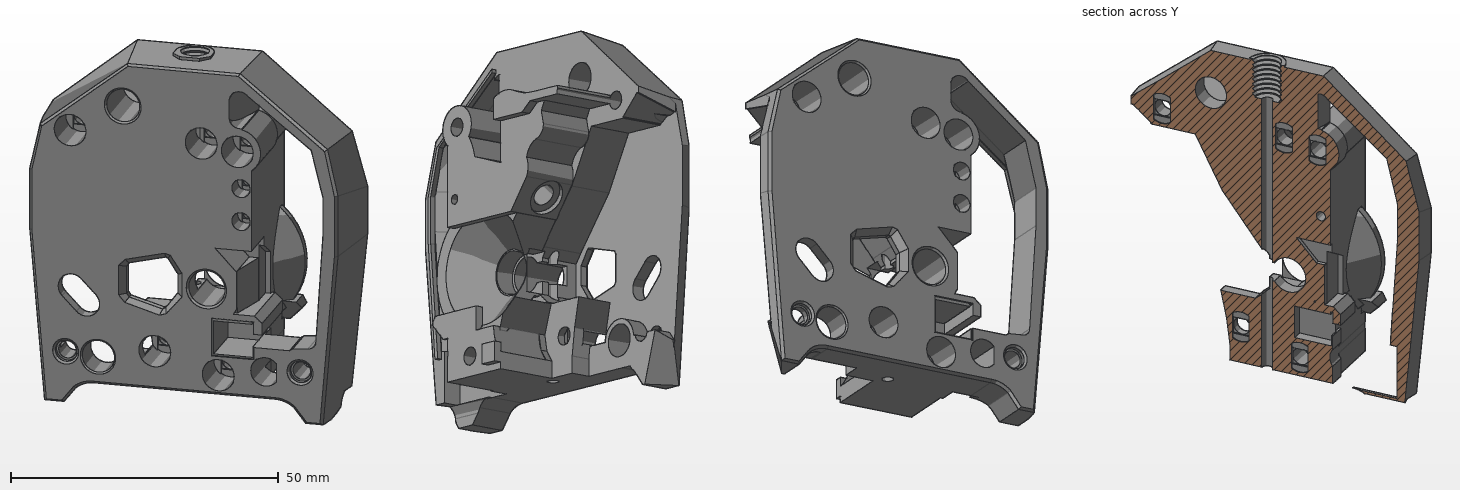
import cadquery as cq
import math


PLATE_Y = 2.6
SHELL_Y = 11.75
BODY_Y = 22.9
HOUSING_Y = 21.3
TIP_Y = 24.7
EDGE_CHAMFER = 0.5
HEIGHT = 68.69
LEFT_X = -30.35
RIGHT_X = 32.5
BODY_RIGHT_X = 13.2
BASE_Z = 4.2
OVERLAP = 0.1
FAR = 60.0

GEAR_X, GEAR_Z = 4.5, 24.9
FILAMENT_X, FILAMENT_Y = 0.0, 8.3
BOSS_X, BOSS_Z, BOSS_R = 10.5, 52.5, 4.5
REAR_BOSS_D = 8.2


def plane_at(y):
    """XZ sketch plane at depth y; a negative extrusion runs toward +Y."""
    return cq.Workplane("XZ", origin=(0, y, 0))


def prism(points, y_from, y_to):
    return plane_at(y_from).polyline(points).close().extrude(y_from - y_to)


def cylinder(x, z, diameter, y_from, y_to):
    return plane_at(y_from).center(x, z).circle(diameter / 2).extrude(y_from - y_to)


def cone(x, z, d_from, d_to, y_from, y_to):
    axis = cq.Vector(0, 1, 0)
    start = cq.Vector(x, y_from, z)
    return cq.Workplane(cq.Solid.makeCone(d_from / 2, d_to / 2, y_to - y_from, start, axis))


def box(x_from, x_to, y_from, y_to, z_from, z_to):
    size = (x_to - x_from, y_to - y_from, z_to - z_from)
    return cq.Workplane(origin=(x_from, y_from, z_from)).box(*size, centered=False)


def side_prism(points_yz, x_from, x_to):
    return cq.Workplane("YZ", origin=(x_from, 0, 0)).polyline(points_yz).close().extrude(x_to - x_from)


def mirrored(half):
    """Close a right-hand chain of points into a symmetric outline."""
    return half + [(-x, z) for x, z in reversed(half)]


def loft_between(points_a, y_a, points_b, y_b):
    wires = []
    for points, y in ((points_a, y_a), (points_b, y_b)):
        wires.append(cq.Wire.makePolygon([cq.Vector(x, y, z) for x, z in points], close=True))
    return cq.Workplane(cq.Solid.makeLoft(wires, True))


def make_frame():
    face = mirrored([(26.5, 0.4), (29.3, 33.5), (29.3, 45.4), (27.4, 54.1), (10.7, 67.4)])
    front = mirrored([(27.0, 0), (29.87, 33.5), (29.87, 45.4), (27.85, 54.4), (10.9, 67.8)])
    back = mirrored([(29.0, 0), (RIGHT_X, 34.5), (RIGHT_X, 43.9), (29.5, 54.5), (12.1, HEIGHT)])
    frame = loft_between(face, 0, front, EDGE_CHAMFER)
    frame = frame.union(loft_between(front, EDGE_CHAMFER, back, SHELL_Y))
    return frame.intersect(box(LEFT_X, RIGHT_X, 0, SHELL_Y, 0, HEIGHT))


def arch_wire(y, grow):
    """Arch outline at depth y, its straight slopes and crown moved outward by grow."""
    slant = grow * math.sqrt(0.5)
    sketch = (plane_at(y).moveTo(-24.0 - slant, slant - 1).lineTo(-20.9 - slant, 2.9 + slant)
              .threePointArc((-19.2 - slant / 2, 3.9 + grow), (-17.3, BASE_Z + grow))
              .lineTo(17.6, BASE_Z + grow).threePointArc((19.5 + slant / 2, 3.9 + grow), (21.3 + slant, 2.9 + slant))
              .lineTo(24.4 + slant, slant - 1).lineTo(24.4, -2).lineTo(-24.0, -2).close())
    return sketch.val()


def make_arch():
    """Opening between the two feet, its front edge chamfered."""
    flat = arch_wire(-OVERLAP, 0)
    arch = cq.Workplane(cq.Solid.extrudeLinear(flat, [], cq.Vector(0, FAR, 0)))
    rim = cq.Solid.makeLoft([arch_wire(0, EDGE_CHAMFER), arch_wire(EDGE_CHAMFER, 0)], True)
    return arch.union(cq.Workplane(rim))


def make_foot_relief():
    """Outer corner of the right foot and the curved back of both feet."""
    corner = prism([(27.6, 0), (29.25, 2.7), (FAR, 2.7), (FAR, -1), (27.6, -1)], EDGE_CHAMFER, FAR)
    back = (cq.Workplane("YZ", origin=(-FAR, 0, 0)).moveTo(8.8, BASE_Z)
            .threePointArc((8.1, 3.2), (7.8, 2.0)).lineTo(7.8, -1).lineTo(FAR, -1)
            .lineTo(FAR, BASE_Z).close().extrude(2 * FAR))
    return corner.union(back)


SCREW_CLEARANCE_Y = 10.3
SCREW_CLEARANCE = [(-1.8, 18.5), (0, 12.8), (-0.6, 9.6), (-2.0, 7.5), (-2.0, -1)]


def make_motor_space():
    outline = [
        (-FAR, 51.9), (-26, 51.4), (-24, 50), (-15, 50), (-9.4, 39.5), (-1.3, 29.3),
        (0, 27.5), (0, 20.5), (-2.4, 18.5), (-9.7, 18.5), (-8.5, 12.8),
        (-7.8, 7.5), (-7.8, -1), (-FAR, -1),
    ]
    space = prism(outline, PLATE_Y, SHELL_Y)
    outer_left = box(-FAR, -28.4, PLATE_Y, FAR, -1, 60)
    slope = loft_between([(-40, 51.8), (-28, 51.8), (-24, 50.2), (-40, 50.2)], PLATE_Y,
                         [(-40, 54.3), (-28, 54.2), (-24, 50.2), (-40, 50.2)], SHELL_Y)
    head_room = prism(SCREW_CLEARANCE + [(-FAR, -1), (-FAR, 18.5)], SCREW_CLEARANCE_Y, SHELL_Y)
    return space.union(outer_left).union(slope).union(head_room)


FOOT_Y = 6.2
FOOT_BORE = (-16.5, 9.6)


def make_left_foot():
    outline = [(-26.9, 0), (-28.1, 8.2), (-26.75, 9.9), (-7.5, 9.9), (-7.5, BASE_Z),
               (-19.5, BASE_Z), (-23.2, 0)]
    foot = prism(outline, PLATE_Y - OVERLAP, FOOT_Y)
    return foot.union(cylinder(*FOOT_BORE, 8.2, PLATE_Y - OVERLAP, FOOT_Y))


def make_left_foot_bevel():
    """Wedge that bevels the outer rear side of the left foot."""
    tip = cq.Vector(-27.0, 0.6, 0)
    plate_edge = cq.Vector(-28.3, PLATE_Y, 8.2)
    rear_top = cq.Vector(-26.75, FOOT_Y, 9.9)
    along = plate_edge - tip
    normal = along.cross(rear_top - tip)
    wedge = cq.Workplane(cq.Plane(tip, along, normal)).rect(FAR, FAR).extrude(FAR)
    return wedge.intersect(box(-FAR, -19, 0.6, SHELL_Y, -1, 9.9))


def make_window():
    outline = (
        plane_at(-1).moveTo(BODY_RIGHT_X, 14.2).lineTo(20.6, 14.2).lineTo(21.2, 14.6).lineTo(24.2, 14.9)
        .threePointArc((25.2, 15.3), (25.7, 16.4)).lineTo(27.06, 37.4).lineTo(27.06, 45.0)
        .lineTo(24.8, 54.1).lineTo(12.6, 63.6).lineTo(11.4, 63.2).lineTo(11.4, 56)
        .lineTo(BODY_RIGHT_X, 54).close().extrude(-FAR)
    )
    return outline.cut(cylinder(BOSS_X, BOSS_Z, 2 * BOSS_R, -2, FAR))


def make_window_ramp():
    """Upper left end of the window: the wall leans from the wide front to the narrow back."""
    front_x, back_x, low, height, width = 8.9, 11.4, 57.1, 7.3, 4.1
    plan = [(front_x, -1), (front_x, 0), (back_x, SHELL_Y), (13, SHELL_Y), (13, -1)]
    ramp = cq.Workplane("XY", origin=(0, 0, low)).polyline(plan).close().extrude(height)
    slot = plane_at(-1).center(front_x + width / 2, low + height / 2).slot2D(height, width, 90).extrude(-FAR)
    return ramp.intersect(slot)


def make_window_rear():
    """Bevel that widens the window toward the back, and the shallow sill below it."""
    narrow = [(20, 13), (25.5, 14.2), (27.06, 37.4), (27.06, 45.0), (24.8, 54.1), (12.6, 63.6)]
    wide = [(20, 13), (27.8, 14.2), (29.7, 37.4), (29.7, 45.0), (27.2, 53.4), (12.6, 64.6)]
    bevel = loft_between(narrow, 8.25, wide, SHELL_Y).cut(cylinder(BOSS_X, BOSS_Z, 2 * BOSS_R, 0, FAR))
    sill = box(BODY_RIGHT_X + 0.5, 27.0, 8.0, FAR, BASE_Z, 15)
    return bevel.union(sill)


def make_rear_lip():
    outer = [(12.3, 65.4), (28.1, 53.0), (30.5, 44), (30.5, 35), (28.6, 12.7)]
    inner = [(27.8, 12.7), (29.8, 35), (29.8, 44), (27.4, 53.0), (12.3, 64.7)]
    return prism(outer + inner, SHELL_Y - OVERLAP, 12.75)


def make_rear_body():
    """Gear housing with its side tongue, column and right boss, and the flange behind the tongue."""
    tongue_end = -20.35
    column_right = -2.0
    profile = (
        plane_at(SHELL_Y - OVERLAP)
        .moveTo(tongue_end, 53.4).lineTo(tongue_end, 55.0).lineTo(-9.4, 55.0)
        .threePointArc((-8.4, 55.3), (-7.7, 56.2))
        .threePointArc((-4.8, 56.6), (column_right, 55.6)).lineTo(column_right, 43.6)
        .lineTo(5.4, 46.0).threePointArc((6.0, 48.0), (7.0, 50.0)).lineTo(BOSS_X, BOSS_Z)
        .lineTo(BODY_RIGHT_X, BOSS_Z).lineTo(BODY_RIGHT_X, 33.8).lineTo(-4.9, 33.8).lineTo(-9.4, 39.7)
        .threePointArc((-9.8, 41.5), (-9.4, 43.4)).threePointArc((-10.3, 45.2), (-12.0, 46.4))
        .threePointArc((-13.6, 47.3), (-14.2, 49.0)).lineTo(-13.6, 51.6).lineTo(-14.5, 53.4)
        .close().extrude(SHELL_Y - OVERLAP - BODY_Y)
    )
    lower = prism([(-4.9, 34), (BODY_RIGHT_X, 34), (BODY_RIGHT_X, 20), (0, 20), (0, 27.5)],
                  SHELL_Y - OVERLAP, HOUSING_Y)
    boss = cylinder(BOSS_X, BOSS_Z, REAR_BOSS_D, SHELL_Y - OVERLAP, BODY_Y)
    flange = (
        plane_at(BODY_Y - OVERLAP).moveTo(tongue_end, 53.4).lineTo(tongue_end, 55.0).lineTo(-14.1, 55.0)
        .threePointArc((-10.5, 55.3), (-7.7, 56.2)).threePointArc((-4.8, 56.6), (column_right, 55.6))
        .lineTo(column_right, 51.6).lineTo(-10.2, 51.6).lineTo(-12.5, 53.4)
        .close().extrude(BODY_Y - OVERLAP - TIP_Y)
    )
    return profile.union(lower).union(boss).union(flange)


BOWL_R = 13.6
BOWL_RIM_Y = 19.8
BOWL_FLOOR_Y = 14.7


def make_bowl():
    tip_r = BOWL_R - (BOWL_RIM_Y - SHELL_Y)
    bowl = cone(GEAR_X, GEAR_Z, 2 * tip_r, 2 * BOWL_R, SHELL_Y, BOWL_RIM_Y)
    bowl = bowl.union(cylinder(GEAR_X, GEAR_Z, 2 * BOWL_R, BOWL_RIM_Y, HOUSING_Y))
    return bowl.cut(box(-FAR, 0, 0, FAR, 0, FAR))


def make_bowl_recess():
    inner_r = 4.4
    mouth_r = inner_r + HOUSING_Y - BOWL_FLOOR_Y
    recess = cone(GEAR_X, GEAR_Z, 2 * inner_r, 2 * mouth_r, BOWL_FLOOR_Y, HOUSING_Y)
    bearing = cylinder(GEAR_X, GEAR_Z, 8.2, 10.9, BOWL_FLOOR_Y + OVERLAP)
    return recess.union(bearing)


def make_gear_space():
    bore = cylinder(GEAR_X, GEAR_Z, 7.0, -1, FAR)
    mouth = cone(GEAR_X, GEAR_Z, 7.8, 7.0, 0, 0.4)
    side = box(-1, GEAR_X, 4.8, 10.9, 23.0, 26.8)
    bearing_side = box(-1, GEAR_X, 10.9, BOWL_FLOOR_Y, 20.5, 28.6)
    return bore.union(mouth).union(side).union(bearing_side)


def make_lower_block():
    shelf_end, recess_top, recess_middle, recess_low, _ = SCREW_CLEARANCE
    left, shelf_z = recess_low[0], recess_top[1]
    block = (plane_at(SHELL_Y - OVERLAP).moveTo(left, BASE_Z).lineTo(*recess_low)
             .threePointArc(recess_middle, recess_top).lineTo(BODY_RIGHT_X, shelf_z)
             .lineTo(BODY_RIGHT_X, BASE_Z).close().extrude(SHELL_Y - OVERLAP - BODY_Y))
    shelf = prism([recess_top, shelf_end, (BODY_RIGHT_X, shelf_end[1]), (BODY_RIGHT_X, shelf_z)],
                  SHELL_Y - OVERLAP, HOUSING_Y)
    wing = prism([(5, 12.6), (14.5, 12.6), (17.6, 15.9), (16.8, 17.4), (5, 17.4)], 15, BODY_Y)
    wing = wing.intersect(side_prism([(18.3, 17.4), (BODY_Y, 12.0), (BODY_Y, 17.4)], 0, FAR))
    tab = box(left, 1.65, BODY_Y - OVERLAP, 24.4, 5.5, 9.3)
    return block.union(shelf).union(wing).union(tab)


NOTCH_WALL_X = 12.15


def make_side_notch():
    """Opening from the window into the gear space."""
    outline = [(6.2, 33.1), (10.3, 28.8), (10.3, 21.4), (9.75, 20.4), (14, 20.4), (14, 33.1)]
    notch = prism(outline, -1, 9)
    deep = side_prism([(-1, 20.4), (-1, 31.3), (9, 31.3), (13.5, 28.6), (13.5, 20.4)], NOTCH_WALL_X, 14)
    return notch.union(deep.cut(make_bowl()))


def make_notch_wall():
    """Leaning wall left standing behind the notch."""
    plan = [(10, 0.8), (10.3, 0.8), (NOTCH_WALL_X, 9.1), (10, 9.1)]
    return cq.Workplane("XY", origin=(0, 0, 20.4)).polyline(plan).close().extrude(8.4)


def make_hook():
    """L-shaped lip beside the square pocket."""
    outline = [(13, 20.4), (13.8, 20.4), (15.3, 19.1), (15.3, 16.8), (13.65, 16.8), (13.65, 19.1), (13, 19.1)]
    return prism(outline, 0, 14.3)


def make_square_pocket():
    left, right, low, high = 5.8, 13.4, 12.1, 18.6
    pocket = box(left, right, -1, SCREW_CLEARANCE_Y, low, high)
    return pocket.union(box(left - 0.3, right + 0.25, -1, 0.4, low - 0.3, high + 0.6))


SCREW_D, SCREW_HEAD_D = 3.4, 6.15
SCREW_POINTS = [(-21.9, 53.8), (3.5, 53.5), (BOSS_X, BOSS_Z), (-5.5, 11.7), (6.8, 8.1)]
FOOT_SCREW_X, FOOT_SCREW_Z = (-22.75, 22.65), 10.1
SMALL_POINTS = [(11.2, 45.3), (11.2, 38.8)]


def stepped_hole(x, z, head_d, hole_d, head_depth, depth):
    """Counterbore that narrows through a slot and a square to the clearance hole."""
    step = 0.4
    head = cylinder(x, z, head_d, -1, head_depth)
    slot_wall = box(x - hole_d / 2, x + hole_d / 2, 0, head_depth + step, z - head_d, z + head_d)
    slot = cylinder(x, z, head_d, 0, head_depth + step).intersect(slot_wall)
    square = box(x - hole_d / 2, x + hole_d / 2, 0, head_depth + 2 * step, z - hole_d / 2, z + hole_d / 2)
    return head.union(slot).union(square).union(cylinder(x, z, hole_d, 0, depth))


def chamfered_hole(x, z, diameter, chamfer, depth=FAR):
    mouth = cone(x, z, diameter + 2 * chamfer, diameter, 0, chamfer)
    return cylinder(x, z, diameter, -1, depth).union(mouth)


def make_front_holes():
    holes = chamfered_hole(-11.7, 59.5, 6.4, 0.35)
    holes = holes.union(chamfered_hole(*FOOT_BORE, 6.25, 0.3))
    for x in FOOT_SCREW_X:
        holes = holes.union(cylinder(x, FOOT_SCREW_Z, SCREW_D, -1, FAR))
        holes = holes.union(cylinder(x, FOOT_SCREW_Z, 4.2, -1, 1.2))
        holes = holes.union(cone(x, FOOT_SCREW_Z, 5.04, 4.2, 0, 0.4))
    for x, z in SCREW_POINTS:
        holes = holes.union(stepped_hole(x, z, SCREW_HEAD_D, SCREW_D, 8.0, FAR))
    for (x, z), depth in zip(SMALL_POINTS, (8.0, FAR)):
        holes = holes.union(stepped_hole(x, z, 3.5, 1.8, 4.0, depth))
    flat_hole = cylinder(15.9, 9.6, 5.6, -1, FAR).intersect(box(0, 18.05, -1, FAR, 0, 20))
    return holes.union(flat_hole)


def make_left_slot():
    start, end, width = (-21.6, 22.85), (-18.8, 20.0), 5.2
    dx, dz = end[0] - start[0], end[1] - start[1]
    length = math.hypot(dx, dz)
    angle = math.degrees(math.atan2(dz, dx))
    middle = ((start[0] + end[0]) / 2, (start[1] + end[1]) / 2)
    return plane_at(-1).center(*middle).slot2D(length + width, width, angle).extrude(-FAR)


def make_motor_opening():
    outer = [(-12.5, 28.0), (-11.2, 29.3), (-3.6, 31.2), (-2.5, 30.9), (-0.2, 27.5), (-0.2, 22.9),
             (-3.3, 19.3), (-4.6, 18.9), (-11.3, 20.8), (-12.5, 22.2)]
    inner = [(-11.3, 27.5), (-10.9, 28.2), (-3.7, 30.0), (-3.3, 29.8), (-1.4, 26.9), (-1.4, 23.2),
             (-3.7, 20.1), (-4.3, 19.7), (-10.8, 21.5), (-11.3, 22.2)]
    return loft_between(outer, 0, inner, 1.3).union(prism(inner, 1, FAR))


INLET_PAD_R = 3.65
THREAD_MINOR_D, THREAD_MAJOR_D, THREAD_PITCH = 5.04, 6.0, 1.0


def make_inlet_pad():
    pad = [(-INLET_PAD_R, SHELL_Y - INLET_PAD_R), (-INLET_PAD_R, 6.0), (-1.9, 4.4), (1.9, 4.4),
           (INLET_PAD_R, 6.0), (INLET_PAD_R, SHELL_Y - INLET_PAD_R)]
    sketch = cq.Workplane("XY", origin=(0, 0, HEIGHT - 2)).polyline(pad)
    return sketch.threePointArc((0, SHELL_Y), pad[0]).close().extrude(2)


def make_filament_path():
    thread_depth = 8.0
    filament_d, path_end = 2.2, BASE_Z - 1
    up = cq.Workplane("XY", origin=(FILAMENT_X, FILAMENT_Y, HEIGHT))
    path = up.circle(filament_d / 2).extrude(path_end - HEIGHT)
    path = path.union(up.circle(THREAD_MINOR_D / 2).extrude(-thread_depth))
    minor_r, major_r = THREAD_MINOR_D / 2, THREAD_MAJOR_D / 2
    root_r, half = minor_r - 0.5, 0.45 * THREAD_PITCH
    ring = [(root_r, half), (minor_r, half), (major_r, 0), (minor_r, -half), (root_r, -half)]
    groove = cq.Workplane("XZ").polyline(ring).close().revolve(360, (0, 0, 0), (0, 1, 0))
    for turn in range(int(thread_depth / THREAD_PITCH)):
        z = HEIGHT - THREAD_PITCH * (turn + 0.3)
        path = path.union(groove.translate((FILAMENT_X, FILAMENT_Y, z)))
    return path


def make_tilted_bore():
    """Tension screw bore, square to the leaning motor-side wall."""
    bore_y, tilt = 16.2, math.radians(38)
    axis = cq.Vector(math.cos(tilt), 0, math.sin(tilt))
    mouth = cq.Vector(-7.3, bore_y, 37.0)
    head_d, head_length, bore_d, bore_length = 7.0, 3.0, 4.2, 11.0
    head = cq.Solid.makeCylinder(head_d / 2, head_length, mouth - axis * 2, axis)
    bore = cq.Solid.makeCylinder(bore_d / 2, bore_length, mouth, axis)
    return cq.Workplane(head).union(cq.Workplane(bore))


result = make_frame().union(make_inlet_pad())
result = result.cut(make_motor_space()).union(make_left_foot()).cut(make_left_foot_bevel())
result = result.cut(make_window()).cut(make_window_ramp()).cut(make_window_rear())
result = result.cut(make_arch()).cut(make_foot_relief())
result = result.union(make_rear_lip()).union(make_rear_body()).union(make_bowl()).union(make_lower_block())
result = result.cut(make_side_notch()).union(make_notch_wall()).union(make_hook())
result = result.cut(make_bowl_recess()).cut(make_gear_space()).cut(make_square_pocket())
result = result.cut(make_front_holes()).cut(make_left_slot()).cut(make_motor_opening())
result = result.cut(make_filament_path()).cut(make_tilted_bore())
result = cq.Workplane(result.solids().val())